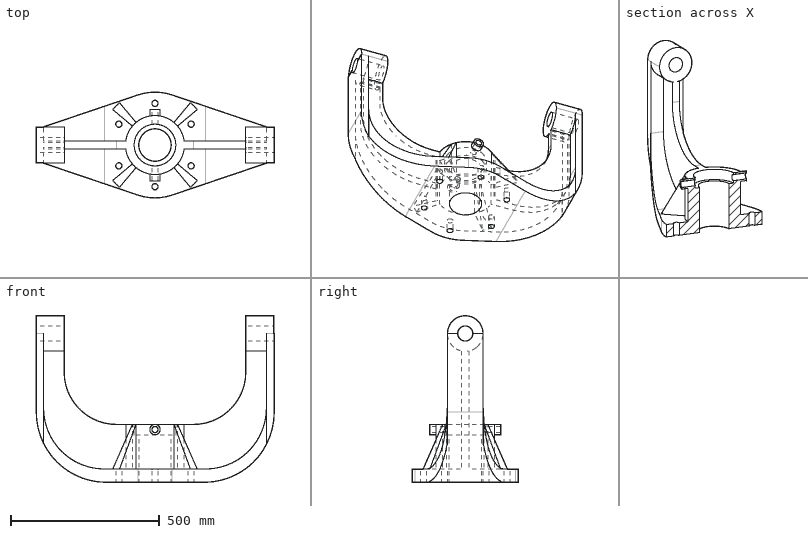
import cadquery as cq
import math

floor_thickness = 45
arm_inner_x = 374
left_arm_outer_x = 399
right_arm_outer_x = 400.83
arm_half_width = 60
inner_bend_radius = 204
outer_bend_radius = 236
tip_radius = 178
taper_angle = 18.7

pivot_z = 500
pivot_boss_diameter = 2 * arm_half_width
pivot_hole_diameter = 50
boss_inner_x = 304.5
boss_outer_x = 399

web_top_z = 195
web_thickness = 26
web_bend_radius = 175
boss_overlap = 0.5
web_end_z = pivot_z - pivot_boss_diameter / 2 + boss_overlap

hub_diameter = 198
hub_bore_diameter = 108
counterbore_diameter = 140
counterbore_depth = 36

pin_diameter = 35
pin_hole_diameter = 20
pin_reach_y = 120
pin_z = web_top_z - pin_diameter / 2

bolt_hole_diameter = 20
bolt_circle_radius = 140
bolt_count = 6

rib_tip_radius = 185
rib_root_radius = (hub_diameter + counterbore_diameter) / 4
rib_sweep_angle = 10
rib_angles = (45, 135, 225, 315)


def u_section(left_x, right_x, bottom_z, bend_radius):
    """XZ outline with straight sides up to the pivot height and rounded bottom corners."""
    mid_arc_inset = bend_radius * (1 - math.cos(math.radians(45)))
    bend_z = bottom_z + bend_radius
    return (
        cq.Workplane("XZ")
        .moveTo(left_x, pivot_z)
        .lineTo(left_x, bend_z)
        .threePointArc(
            (left_x + mid_arc_inset, bottom_z + mid_arc_inset),
            (left_x + bend_radius, bottom_z),
        )
        .lineTo(right_x - bend_radius, bottom_z)
        .threePointArc((right_x - mid_arc_inset, bottom_z + mid_arc_inset), (right_x, bend_z))
        .lineTo(right_x, pivot_z)
        .close()
    )


def u_block(left_x, right_x, bottom_z, bend_radius, width):
    """The U section extruded across the part, centred on the XZ plane."""
    return u_section(left_x, right_x, bottom_z, bend_radius).extrude(width / 2, both=True)


def plan_prism():
    """Tapered plan outline with round tips at +/-Y, joined with the constant-width band of the arms."""
    angle = math.radians(taper_angle)
    tangent_x = tip_radius * math.sin(angle)
    tangent_y = tip_radius * math.cos(angle)
    end_y = (tip_radius - arm_inner_x * math.sin(angle)) / math.cos(angle)
    lens = (
        cq.Workplane("XY")
        .moveTo(-arm_inner_x, -end_y)
        .lineTo(-tangent_x, -tangent_y)
        .threePointArc((0, -tip_radius), (tangent_x, -tangent_y))
        .lineTo(arm_inner_x, -end_y)
        .lineTo(arm_inner_x, end_y)
        .lineTo(tangent_x, tangent_y)
        .threePointArc((0, tip_radius), (-tangent_x, tangent_y))
        .lineTo(-arm_inner_x, end_y)
        .close()
        .extrude(pivot_z)
    )
    arm_band = cq.Workplane("XY").box(
        2 * right_arm_outer_x, 2 * arm_half_width, pivot_z, centered=(True, True, False)
    )
    return lens.union(arm_band)


def strap(outer):
    """Bent strap: the outer U minus the inner U, trimmed to the plan outline."""
    inner = u_block(-arm_inner_x, arm_inner_x, floor_thickness, inner_bend_radius, 2 * tip_radius)
    return outer.cut(inner).intersect(plan_prism())


def web(outer):
    """Plate on the XZ plane that fills the U below its own opening and ends flat under the pivot bosses."""
    slab = cq.Workplane("XY").box(
        2 * arm_inner_x, web_thickness, web_end_z, centered=(True, True, False)
    )
    opening = u_block(-boss_inner_x, boss_inner_x, web_top_z, web_bend_radius, web_thickness)
    return outer.intersect(slab).cut(opening)


def pivot_cylinder(diameter, start_x, end_x):
    """Cylinder on the pivot axis between two X positions."""
    return (
        cq.Workplane("YZ", origin=(start_x, 0, pivot_z))
        .circle(diameter / 2)
        .extrude(end_x - start_x)
    )


def cross_cylinder(diameter):
    """Cylinder along Y at the pin height, reaching both pin ends."""
    return (
        cq.Workplane("XZ", origin=(0, 0, pin_z))
        .circle(diameter / 2)
        .extrude(pin_reach_y, both=True)
    )


def rib(angle):
    """Triangular gusset from the hub top to the floor, swept about the hub axis."""
    return (
        cq.Workplane("XZ")
        .moveTo(rib_root_radius, floor_thickness)
        .lineTo(rib_tip_radius, floor_thickness)
        .lineTo(hub_diameter / 2, web_top_z)
        .lineTo(rib_root_radius, web_top_z)
        .close()
        .revolve(rib_sweep_angle, (0, 0, 0), (0, 1, 0))
        .rotate((0, 0, 0), (0, 0, 1), angle - rib_sweep_angle / 2)
    )


def bolt_holes():
    """Ring of through holes in the floor, with one hole on the +Y axis."""
    return (
        cq.Workplane("XY")
        .polarArray(bolt_circle_radius, 90, 360, bolt_count)
        .circle(bolt_hole_diameter / 2)
        .extrude(floor_thickness)
    )


outer_block = u_block(-left_arm_outer_x, right_arm_outer_x, 0, outer_bend_radius, 2 * tip_radius)
body = strap(outer_block).union(web(outer_block))
body = body.union(cq.Workplane("XY").circle(hub_diameter / 2).extrude(web_top_z))
body = body.union(cross_cylinder(pin_diameter))
for rib_angle in rib_angles:
    body = body.union(rib(rib_angle))
body = body.union(pivot_cylinder(pivot_boss_diameter, -boss_outer_x, -boss_inner_x))
body = body.union(pivot_cylinder(pivot_boss_diameter, boss_inner_x, boss_outer_x))

body = body.cut(cq.Workplane("XY").circle(hub_bore_diameter / 2).extrude(web_top_z))
body = body.cut(
    cq.Workplane("XY", origin=(0, 0, web_top_z - counterbore_depth))
    .circle(counterbore_diameter / 2)
    .extrude(counterbore_depth)
)
body = body.cut(cross_cylinder(pin_hole_diameter))
body = body.cut(bolt_holes())
body = body.cut(pivot_cylinder(pivot_hole_diameter, -right_arm_outer_x, right_arm_outer_x))

result = body